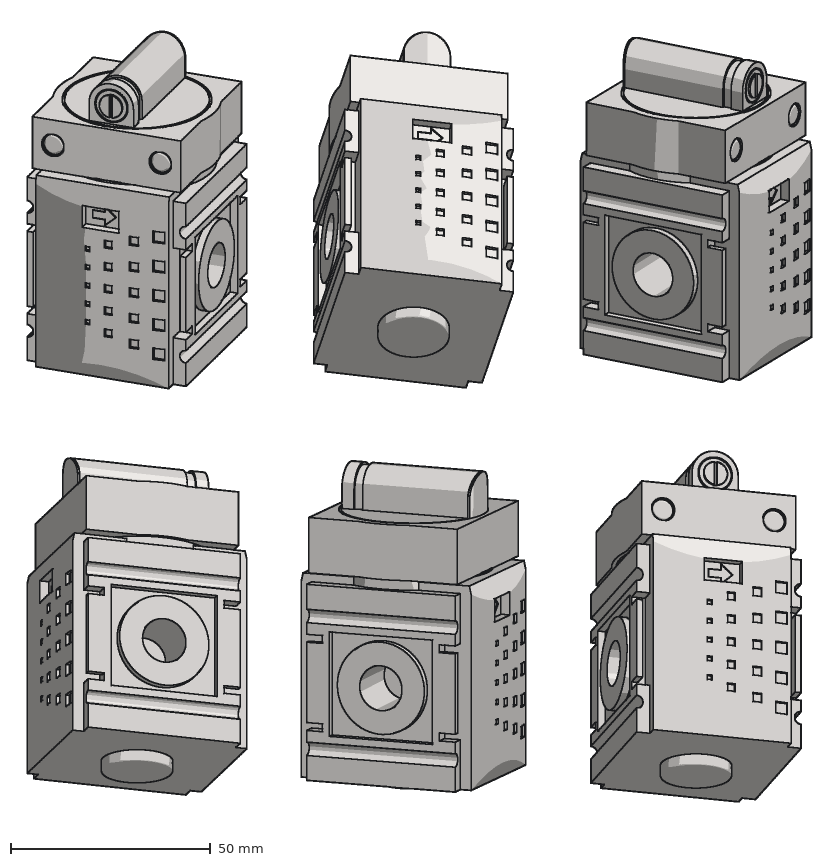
import cadquery as cq
import math

TOTAL_H = 80.6

BODY_X = 43.0
BODY_Y = 40.1
BODY_H = 50.0
HALF_X = BODY_X / 2
HALF_Y = BODY_Y / 2
MID_Z = BODY_H / 2

COVER_X = 35.95
COVER_TOP = 52.1
COVER_TOP_HALF_Y = 22.5
COVER_EDGE_HALF_Y = 23.0
CROWN_HALF_Y = 24.1
CROWN_END_H = 3.95

WINDOW_W = 9.9
WINDOW_H = 5.9
WINDOW_Z = 43.6
WINDOW_FLOOR_Y = 21.6
ARROW_LENGTH = 6.3
ARROW_SHAFT_W = 2.1
ARROW_HEAD_W = 5.15
ARROW_HEAD_L = 3.0
ARROW_DEPTH = 0.25
PITS_PER_COLUMN = 5
PIT_DEPTH = 0.8
PIT_COLUMNS = [(-3.55, 5.0, 1.2), (2.1, 6.05, 2.0), (8.95, 7.0, 2.3), (15.4, 8.0, 3.1)]

FACE_GROOVE_R = 1.7
FACE_GROOVE_OFFSET_Z = 16.9
POCKET_Y = 27.9
POCKET_Z = 26.6
POCKET_DEPTH = 2.0
PORT_BOSS_D = 23.5
PORT_D = 11.45
PORT_DEPTH = 16.1
CLIP_PLATE_T = 1.6
CLIP_PLATE_H = 20.5
CLIP_SLOT_H = 24.5
CLIP_SLOT_DEPTH_Y = 4.3

PLUG_D = 17.9
PLUG_H = 2.9
PLUG_FILLET = 0.5

NECK_D = 40.0
HEAD_BOTTOM = 52.6
HEAD_TOP = 66.7
HEAD_SIDE = 40.1
HEAD_BULGE_D = 42.2
PIN_OFFSET_X = 14.5
PIN_Z = 59.8
PIN_SEAT_D = 6.0
PIN_SEAT_DEPTH = 0.65
PIN_D = 5.5
PIN_EDGE_R = 0.8

KNOB_RING_OUTER_D = 37.4
KNOB_RING_INNER_D = 36.3
KNOB_RING_DEPTH = 0.5
HANDLE_W = 12.0
HANDLE_TOP = TOTAL_H - PLUG_H
HANDLE_AXIS_Z = HANDLE_TOP - HANDLE_W / 2
HANDLE_END_D = 37.2
HANDLE_END_STEP = 0.1
HANDLE_FRONT_Y = -16.9
HANDLE_GROOVE_FRONT_Y = -13.6
HANDLE_GROOVE_BACK_Y = -11.3
HANDLE_GROOVE_DEPTH = 0.6
LOCK_RING_OUTER_D = 8.9
LOCK_RING_INNER_D = 8.5
LOCK_RING_DEPTH = 0.3
LOCK_D = 6.1
LOCK_PROUD = 0.5
LOCK_SLOT_W = 0.8
LOCK_SLOT_DEPTH = 1.0


def box(x0, x1, y0, y1, z0, z1):
    """Axis-aligned box between two opposite corners."""
    return cq.Workplane("XY").box(x1 - x0, y1 - y0, z1 - z0, centered=False).translate((x0, y0, z0))


def disc_z(diameter, z0, z1):
    """Upright cylinder on the part's main axis."""
    return cq.Workplane("XY").workplane(offset=z0).circle(diameter / 2).extrude(z1 - z0)


def disc_y(diameter, x, z, y0, y1):
    """Cylinder along Y, from y0 to y1."""
    return cq.Workplane("XZ", origin=(x, y0, z)).circle(diameter / 2).extrude(y0 - y1)


def both_ends(shape):
    """The shape together with its copy turned half a turn about Z."""
    return shape.union(shape.rotate((0, 0, 0), (0, 0, 1), 180))


def make_covers():
    """Front and back crowned covers as one solid, bevelled above and below."""
    plan = (
        cq.Workplane("XY")
        .moveTo(-COVER_X / 2, -COVER_EDGE_HALF_Y)
        .threePointArc((0, -CROWN_HALF_Y), (COVER_X / 2, -COVER_EDGE_HALF_Y))
        .lineTo(COVER_X / 2, COVER_EDGE_HALF_Y)
        .threePointArc((0, CROWN_HALF_Y), (-COVER_X / 2, COVER_EDGE_HALF_Y))
        .close()
        .extrude(COVER_TOP)
    )
    half_profile = [
        (COVER_EDGE_HALF_Y, 0),
        (CROWN_HALF_Y, CROWN_END_H),
        (CROWN_HALF_Y, BODY_H - CROWN_END_H),
        (COVER_EDGE_HALF_Y, BODY_H),
        (COVER_TOP_HALF_Y, COVER_TOP),
    ]
    mirrored = [(-y, z) for y, z in reversed(half_profile)]
    bevel = cq.Workplane("YZ").polyline(half_profile + mirrored).close().extrude(COVER_X / 2, both=True)
    return plan.intersect(bevel)


def cover_cuts():
    """Arrow window and square pits of the cover on the -Y side."""
    window = box(
        -WINDOW_W / 2, WINDOW_W / 2, -CROWN_HALF_Y, -WINDOW_FLOOR_Y,
        WINDOW_Z - WINDOW_H / 2, WINDOW_Z + WINDOW_H / 2,
    )
    tip = ARROW_LENGTH / 2
    neck = tip - ARROW_HEAD_L
    arrow = (
        cq.Workplane("XZ", origin=(0, -WINDOW_FLOOR_Y + ARROW_DEPTH, WINDOW_Z))
        .polyline([
            (-tip, -ARROW_SHAFT_W / 2), (neck, -ARROW_SHAFT_W / 2), (neck, -ARROW_HEAD_W / 2), (tip, 0),
            (neck, ARROW_HEAD_W / 2), (neck, ARROW_SHAFT_W / 2), (-tip, ARROW_SHAFT_W / 2),
        ])
        .close()
        .extrude(ARROW_DEPTH)
    )
    cuts = window.union(arrow)
    crown_rise = CROWN_HALF_Y - COVER_EDGE_HALF_Y
    crown_r = ((COVER_X / 2) ** 2 + crown_rise ** 2) / (2 * crown_rise)
    for x, pitch, side in PIT_COLUMNS:
        surface_y = CROWN_HALF_Y - crown_r + math.sqrt(crown_r ** 2 - x ** 2)
        pits = (
            cq.Workplane("XZ", origin=(x, -surface_y + PIT_DEPTH, MID_Z))
            .rarray(0.8, pitch, 1, PITS_PER_COLUMN)
            .rect(side, side)
            .extrude(2 * PIT_DEPTH)
        )
        cuts = cuts.union(pits)
    return cuts


def port_face_cuts():
    """Grooves, clip slots and square pocket around the port boss of the -X side."""
    cuts = (
        cq.Workplane("XZ", origin=(-HALF_X, 0, MID_Z))
        .pushPoints([(0, -FACE_GROOVE_OFFSET_Z), (0, FACE_GROOVE_OFFSET_Z)])
        .circle(FACE_GROOVE_R)
        .extrude(HALF_Y, both=True)
    )
    slot_x = -COVER_X / 2
    clip_low, clip_high = MID_Z - CLIP_SLOT_H / 2, MID_Z + CLIP_SLOT_H / 2
    plate_low, plate_high = MID_Z - CLIP_PLATE_H / 2, MID_Z + CLIP_PLATE_H / 2
    for y0 in (-HALF_Y, HALF_Y - CLIP_SLOT_DEPTH_Y):
        y1 = y0 + CLIP_SLOT_DEPTH_Y
        slot = box(-HALF_X, slot_x, y0, y1, clip_low, clip_high)
        plate = box(-HALF_X, -HALF_X + CLIP_PLATE_T, y0, y1, plate_low, plate_high)
        cuts = cuts.union(slot.cut(plate))
    face = cq.Workplane("YZ", origin=(-HALF_X, 0, MID_Z))
    pocket = face.rect(POCKET_Y, POCKET_Z).circle(PORT_BOSS_D / 2).extrude(POCKET_DEPTH)
    return cuts.union(pocket)


def port_bore():
    """Blind bore in the -X side."""
    return cq.Workplane("YZ", origin=(-HALF_X, 0, MID_Z)).circle(PORT_D / 2).extrude(PORT_DEPTH)


def make_body():
    """Block and covers with all their cuts, and the round plug below."""
    body = box(-HALF_X, HALF_X, -HALF_Y, HALF_Y, 0, BODY_H).cut(both_ends(port_face_cuts()))
    covers = make_covers().cut(both_ends(cover_cuts()))
    plug = disc_z(PLUG_D, -PLUG_H, 0).faces("<Z").edges().fillet(PLUG_FILLET)
    return body.union(covers).cut(both_ends(port_bore())).union(plug)


def make_head():
    """Round neck, square head with bulging X sides, pins and the knob ring."""
    neck = disc_z(NECK_D, BODY_H, HEAD_BOTTOM)
    half = HEAD_SIDE / 2
    head = box(-half, half, -half, half, HEAD_BOTTOM, HEAD_TOP)
    bulge_limit = box(-HALF_X, HALF_X, -half, half, HEAD_BOTTOM, HEAD_TOP)
    head = head.union(disc_z(HEAD_BULGE_D, HEAD_BOTTOM, HEAD_TOP).intersect(bulge_limit))
    for x in (-PIN_OFFSET_X, PIN_OFFSET_X):
        seat = disc_y(PIN_SEAT_D, x, PIN_Z, -half, -half + PIN_SEAT_DEPTH)
        pin = disc_y(PIN_D, x, PIN_Z, -half, -half + 2 * PIN_EDGE_R).faces("<Y").edges().fillet(PIN_EDGE_R)
        head = head.cut(seat).union(pin)
    ring = disc_z(KNOB_RING_OUTER_D, HEAD_TOP - KNOB_RING_DEPTH, HEAD_TOP)
    ring = ring.cut(disc_z(KNOB_RING_INNER_D, HEAD_TOP - KNOB_RING_DEPTH, HEAD_TOP))
    return neck.union(head.cut(ring))


def handle_bar(inset, y0, y1):
    """Round-topped bar along Y, set in from the full handle section."""
    r = HANDLE_W / 2 - inset
    base = HEAD_TOP - KNOB_RING_DEPTH
    return (
        cq.Workplane("XZ", origin=(0, y1, 0))
        .moveTo(-r, base)
        .lineTo(r, base)
        .lineTo(r, HANDLE_AXIS_Z)
        .threePointArc((0, HANDLE_AXIS_Z + r), (-r, HANDLE_AXIS_Z))
        .close()
        .extrude(y1 - y0)
    )


def make_handle():
    """Handle with a rounded, slightly stepped back end, a grip groove and a slotted lock."""
    end_r = HANDLE_END_D / 2
    knob = disc_z(KNOB_RING_INNER_D, HEAD_BOTTOM, HANDLE_TOP)
    bar = handle_bar(HANDLE_END_STEP, 0, end_r).intersect(disc_z(HANDLE_END_D, HEAD_BOTTOM, HANDLE_TOP))
    bar = bar.union(handle_bar(0, HANDLE_GROOVE_BACK_Y, end_r).intersect(knob))
    bar = bar.union(handle_bar(HANDLE_GROOVE_DEPTH, HANDLE_FRONT_Y, 0))
    bar = bar.union(handle_bar(0, HANDLE_FRONT_Y, HANDLE_GROOVE_FRONT_Y))

    ring_back = HANDLE_FRONT_Y + LOCK_RING_DEPTH
    ring = disc_y(LOCK_RING_OUTER_D, 0, HANDLE_AXIS_Z, HANDLE_FRONT_Y, ring_back)
    ring = ring.cut(disc_y(LOCK_RING_INNER_D, 0, HANDLE_AXIS_Z, HANDLE_FRONT_Y, ring_back))
    lock_front = HANDLE_FRONT_Y - LOCK_PROUD
    lock = disc_y(LOCK_D, 0, HANDLE_AXIS_Z, lock_front, HANDLE_FRONT_Y)
    slot = box(
        -LOCK_SLOT_W / 2, LOCK_SLOT_W / 2, lock_front, lock_front + LOCK_SLOT_DEPTH,
        HANDLE_AXIS_Z - LOCK_D / 2, HANDLE_AXIS_Z + LOCK_D / 2,
    )
    return bar.cut(ring).union(lock).cut(slot)


result = make_body().union(make_head()).union(make_handle())